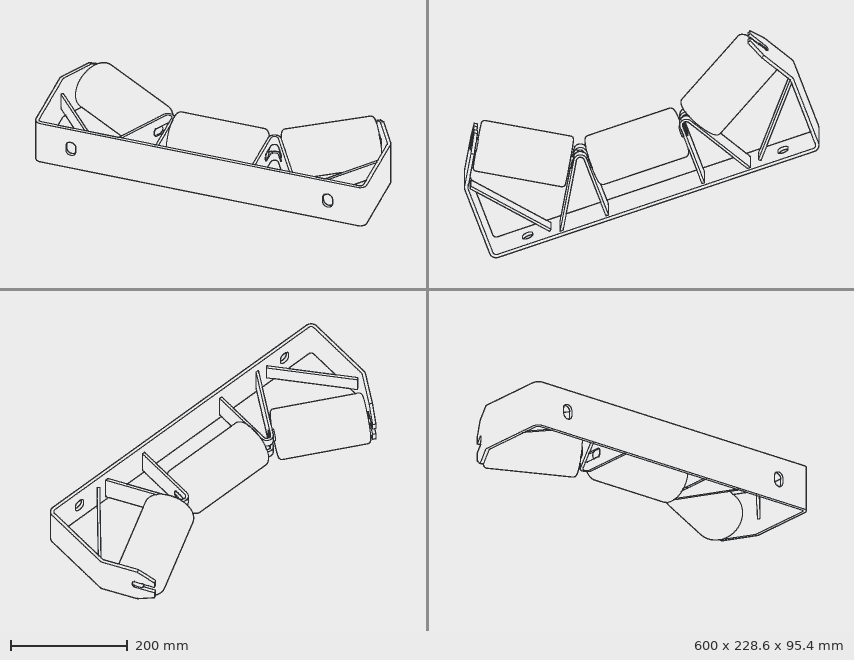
import cadquery as cq
import math

SIDES = (-1, 1)

ROLLER_DIAMETER = 89.0
ROLLER_LENGTH = 161.0
ROLLER_FILLET = 6.0
SHAFT_DIAMETER = 20.5
SHAFT_LENGTH = 177.5
SHAFT_FLATS = 14.0
FLATS_SPACING = 168.0
TROUGH_ANGLE = 30.0
TILT_ANGLE = 2.5
CENTRE_ROLLER_Y = 99.5
CENTRE_ROLLER_Z = -6.0
SIDE_ROLLER_X = 188.0
SIDE_ROLLER_Y = 152.0
SIDE_ROLLER_Z = -3.0

SEAT_SPACING = 170.5
SEAT_WIDTH = 16.0
SEAT_REACH = 15.5
SEAT_DEPTH = 72.0

FRAME_LENGTH = 600.0
FRAME_HEIGHT = 81.0
STRIP_THICKNESS = 6.0
BEND_RADIUS = 12.0
END_PLATE_Y = 224.0
END_CHAMFER_ALONG = 31.0
END_CHAMFER_HEIGHT = 18.0

MOUNT_SLOT_SPACING = 465.5
MOUNT_SLOT_WIDTH = 18.0
MOUNT_SLOT_HEIGHT = 27.0

SUPPORT_THICKNESS = 5.0
SUPPORT_HEIGHT = 50.5
SUPPORT_BEND_RADIUS = 11.5
STRUT_THICKNESS = 5.0
STRUT_HEIGHT = 30.0
STRUT_FRONT = (191.0, 7.0)
STRUT_BACK = (293.0, 128.5)

LEAN = math.radians(TROUGH_ANGLE)
PLATE_DISTANCE = SEAT_SPACING / 2
BEND_INNER_RADIUS = BEND_RADIUS - STRIP_THICKNESS
WALL_BEND_X = FRAME_LENGTH / 2 - BEND_RADIUS
WALL_BEND_Y = SIDE_ROLLER_Y + (
    PLATE_DISTANCE - BEND_INNER_RADIUS - (WALL_BEND_X - SIDE_ROLLER_X) * math.cos(LEAN)
) / math.sin(LEAN)
SUPPORT_BEND_X = PLATE_DISTANCE + SUPPORT_BEND_RADIUS
SUPPORT_BEND_Y = SIDE_ROLLER_Y - (
    PLATE_DISTANCE + SUPPORT_BEND_RADIUS - (SIDE_ROLLER_X - SUPPORT_BEND_X) * math.cos(LEAN)
) / math.sin(LEAN)


def upright(profile, height):
    """Extrude an XY profile along Z, centred on Z = 0."""
    return profile.extrude(height / 2, both=True)


def round_bar(diameter, length):
    """Cylinder along X, centred on the origin."""
    return cq.Workplane("YZ").workplane(offset=-length / 2).circle(diameter / 2).extrude(length)


def polar(centre_x, centre_y, radius, angle):
    return (centre_x + radius * math.cos(angle), centre_y + radius * math.sin(angle))


def at_roller_places(shape):
    """Copies of a shape, modelled along X about the origin, at the three roller places."""
    places = [shape.translate((0, CENTRE_ROLLER_Y, CENTRE_ROLLER_Z))]
    for side in SIDES:
        tilted = shape.rotate((0, 0, 0), (0, 1, 0), -side * TILT_ANGLE)
        turned = tilted.rotate((0, 0, 0), (0, 0, 1), side * TROUGH_ANGLE)
        places.append(turned.translate((side * SIDE_ROLLER_X, SIDE_ROLLER_Y, SIDE_ROLLER_Z)))
    return places


def make_end_chamfers(plate_tip):
    """Cutters for the two corners of the right end plate, whose outer edge is at plate_tip."""
    top = FRAME_HEIGHT / 2
    plate_plane = cq.Plane(
        origin=(*plate_tip, 0),
        xDir=(-math.sin(LEAN), math.cos(LEAN), 0),
        normal=(math.cos(LEAN), math.sin(LEAN), 0),
    )
    corners = cq.Workplane(plate_plane)
    for side in SIDES:
        corners = corners.polyline(
            [
                (0, side * top),
                (-END_CHAMFER_ALONG, side * top),
                (0, side * (top - END_CHAMFER_HEIGHT)),
            ]
        ).close()
    return corners.extrude(2 * STRIP_THICKNESS, both=True)


def make_strip():
    """Front wall, two end walls and two leaning end plates as one bent bar."""
    outer_x = FRAME_LENGTH / 2
    inner_x = outer_x - STRIP_THICKNESS

    def front_bend(radius):
        return polar(WALL_BEND_X, BEND_RADIUS, radius, -math.pi / 4)

    def back_bend(radius, angle):
        return polar(WALL_BEND_X, WALL_BEND_Y, radius, angle)

    lean_outer = back_bend(BEND_RADIUS, LEAN)
    lean_inner = back_bend(BEND_INNER_RADIUS, LEAN)
    plate_length = (END_PLATE_Y - lean_outer[1]) / math.cos(LEAN)
    tip_outer = polar(*lean_outer, plate_length, LEAN + math.pi / 2)
    tip_inner = polar(*lean_inner, plate_length, LEAN + math.pi / 2)

    right_profile = (
        cq.Workplane("XY")
        .moveTo(0, 0)
        .lineTo(WALL_BEND_X, 0)
        .threePointArc(front_bend(BEND_RADIUS), (outer_x, BEND_RADIUS))
        .lineTo(outer_x, WALL_BEND_Y)
        .threePointArc(back_bend(BEND_RADIUS, LEAN / 2), lean_outer)
        .lineTo(*tip_outer)
        .lineTo(*tip_inner)
        .lineTo(*lean_inner)
        .threePointArc(back_bend(BEND_INNER_RADIUS, LEAN / 2), (inner_x, WALL_BEND_Y))
        .lineTo(inner_x, BEND_RADIUS)
        .threePointArc(front_bend(BEND_INNER_RADIUS), (WALL_BEND_X, STRIP_THICKNESS))
        .lineTo(0, STRIP_THICKNESS)
        .close()
    )
    right_half = upright(right_profile, FRAME_HEIGHT).cut(make_end_chamfers(tip_outer))
    return right_half.union(right_half.mirror("YZ"))


def make_support():
    """Right hairpin support: a straight leg, a bend and a leg parallel to the end plate."""
    outer_radius = SUPPORT_BEND_RADIUS
    inner_radius = outer_radius - SUPPORT_THICKNESS
    bend_middle = (math.pi + LEAN) / 2
    foot_y = STRIP_THICKNESS / 2

    def bend(radius, angle):
        return polar(SUPPORT_BEND_X, SUPPORT_BEND_Y, radius, angle)

    def leaning_foot(radius):
        leg_top = bend(radius, LEAN)
        return (leg_top[0] + (leg_top[1] - foot_y) * math.tan(LEAN), foot_y)

    profile = (
        cq.Workplane("XY")
        .moveTo(SUPPORT_BEND_X - outer_radius, foot_y)
        .lineTo(SUPPORT_BEND_X - outer_radius, SUPPORT_BEND_Y)
        .threePointArc(bend(outer_radius, bend_middle), bend(outer_radius, LEAN))
        .lineTo(*leaning_foot(outer_radius))
        .lineTo(*leaning_foot(inner_radius))
        .lineTo(*bend(inner_radius, LEAN))
        .threePointArc(bend(inner_radius, bend_middle), (SUPPORT_BEND_X - inner_radius, SUPPORT_BEND_Y))
        .lineTo(SUPPORT_BEND_X - inner_radius, foot_y)
        .close()
    )
    return upright(profile, SUPPORT_HEIGHT).translate((0, 0, CENTRE_ROLLER_Z))


def make_strut():
    """Right diagonal strut between the front wall and the end wall."""
    run_x = STRUT_BACK[0] - STRUT_FRONT[0]
    run_y = STRUT_BACK[1] - STRUT_FRONT[1]
    return (
        cq.Workplane("XY")
        .box(math.hypot(run_x, run_y), STRUT_THICKNESS, STRUT_HEIGHT)
        .rotate((0, 0, 0), (0, 0, 1), math.degrees(math.atan2(run_y, run_x)))
        .translate((STRUT_FRONT[0] + run_x / 2, STRUT_FRONT[1] + run_y / 2, 0))
    )


def make_seat():
    """Cutter for one shaft seat: a slot open towards +Y with a bottom that fits the shaft."""
    slot = cq.Workplane("XY").box(SEAT_REACH, SEAT_DEPTH, SEAT_WIDTH).translate((0, SEAT_DEPTH / 2, 0))
    bottom_band = cq.Workplane("XY").box(SEAT_REACH, SHAFT_DIAMETER, SEAT_WIDTH)
    return slot.union(round_bar(SHAFT_DIAMETER, SEAT_REACH).intersect(bottom_band))


def make_mount_slots():
    return (
        cq.Workplane("XZ")
        .pushPoints([(side * MOUNT_SLOT_SPACING / 2, 0) for side in SIDES])
        .slot2D(MOUNT_SLOT_HEIGHT, MOUNT_SLOT_WIDTH, 90)
        .extrude(-STRIP_THICKNESS)
    )


def make_frame():
    body = make_strip().cut(make_mount_slots())
    for right_piece in (make_support(), make_strut()):
        body = body.union(right_piece).union(right_piece.mirror("YZ"))
    for side in SIDES:
        seat = make_seat().translate((side * (FLATS_SPACING + SEAT_REACH) / 2, 0, 0))
        for placed_seat in at_roller_places(seat):
            body = body.cut(placed_seat)
    return body


def make_roller():
    """Drum with rounded rims and a shaft flattened on both sides at each end."""
    drum = round_bar(ROLLER_DIAMETER, ROLLER_LENGTH).faces("<X or >X").edges().fillet(ROLLER_FILLET)
    flattened_length = cq.Workplane("XY").box(SHAFT_LENGTH, SHAFT_DIAMETER, SHAFT_FLATS)
    round_length = cq.Workplane("XY").box(FLATS_SPACING, SHAFT_DIAMETER, SHAFT_DIAMETER)
    shaft = round_bar(SHAFT_DIAMETER, SHAFT_LENGTH).intersect(flattened_length.union(round_length))
    return drum.union(shaft)


frame = make_frame()
rollers = at_roller_places(make_roller())

result = cq.Compound.makeCompound([frame.val(), *[roller.val() for roller in rollers]])